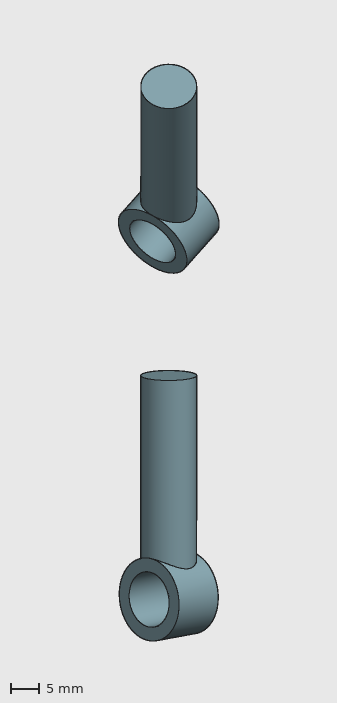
import cadquery as cq

eye_outer_diameter = 15.0
eye_bore_diameter = 10.0
eye_width = 10.0
shank_diameter = 10.0
shank_top_height = 40.0


def eye_cylinder(diameter):
    """Cylinder along Y with the width of the eye, centred on the origin."""
    start_plane = cq.Plane(origin=(0, eye_width / 2, 0), xDir=(0, 0, 1), normal=(0, -1, 0))
    return cq.Workplane(start_plane).circle(diameter / 2).extrude(eye_width)


def shank():
    """Round shank rising from the eye axis along Z."""
    return cq.Workplane("XY").circle(shank_diameter / 2).extrude(shank_top_height)


eye_blank = eye_cylinder(eye_outer_diameter)
bore = eye_cylinder(eye_bore_diameter)
result = eye_blank.union(shank()).cut(bore)